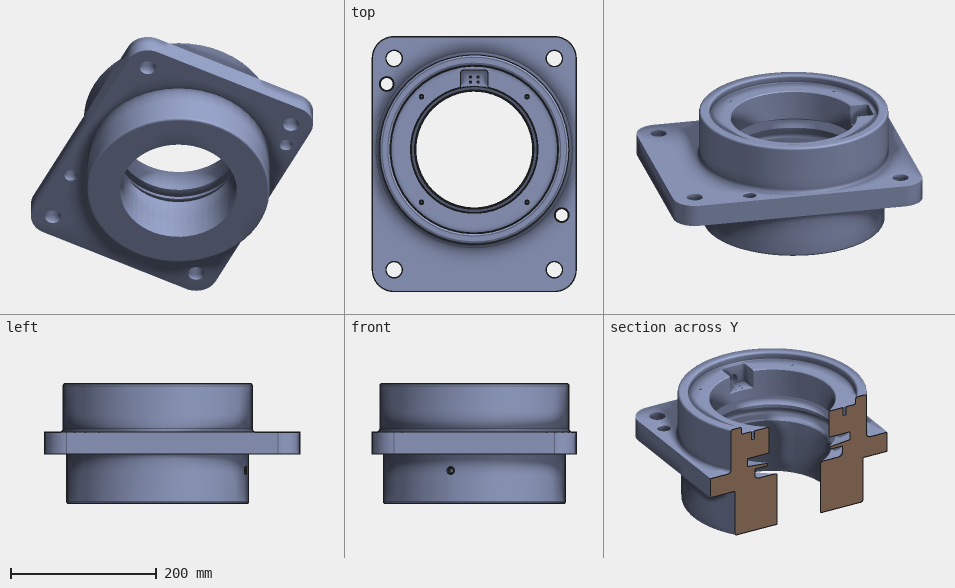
import cadquery as cq
import math

plate_x = 280.0
plate_y = 350.0
plate_thickness = 30.0
plate_corner_radius = 30.0
plate_shift_y = -20.0

FILLET_BOW = 1 - math.sqrt(0.5)

lower_height = 68.0
lower_radius = 125.0
lower_edge_fillet = 3.0
upper_height = 67.0
upper_radius = 130.0
upper_edge_fillet = 3.0
foot_fillet = 5.0

plate_top = lower_height + plate_thickness
total_height = plate_top + upper_height

recess_radius = 115.5
recess_depth = 11.0
recess_rim_fillet = 3.0
recess_floor_chamfer = 1.0
recess_floor = total_height - recess_depth

lip_radius = 86.5
lip_thickness = 41.0
lip_chamfer = 1.0
lip_bottom = recess_floor - lip_thickness
groove_radius = 108.5

ring_radius = 87.5
ring_top = 98.7
ring_thickness = 4.5
ring_slope = math.radians(8)
ring_bottom = ring_top - ring_thickness
ring_outer_top = ring_top + (groove_radius - ring_radius) * math.tan(ring_slope)

seat_radius = 100.0
seat_floor = 79.5
seat_fillet = 5.0
through_radius = 80.0
through_chamfer_width = 1.8
through_chamfer_height = 1.8

mount_diameter = 22.0
mount_spacing_x = 219.8
mount_spacing_y = 289.8

pin_diameter = 18.0
pin_chamfer = 1.0
pin_x = 120.0
pin_y = 90.0

cover_hole_diameter = 4.0
cover_hole_chamfer = 1.0
cover_hole_depth = 12.2
cover_hole_offset = 72.5

pocket_width = 37.0
pocket_end_y = 109.0
pocket_depth = 27.5
pocket_corner_radius = 4.0
pocket_floor = recess_floor - pocket_depth

contact_diameter = 2.8
contact_depth = 7.0
contact_half_spacing_x = 5.2
contact_rows_y = (92.5, 99.5)

wall_hole_diameter = 15.5
wall_hole_depth = 10.5
wall_hole_z = pocket_floor + wall_hole_diameter / 2

side_hole_diameter = 7.7
side_hole_depth = 10.5
side_hole_chamfer = 1.5
side_hole_tip = 2.0
side_hole_z = 45.5
side_hole_angle = math.radians(255)


def vertical_holes(points, top_z, diameter, depth):
    """Vertical cylinders hanging down from top_z at the given points."""
    plane = cq.Workplane("XY").workplane(offset=top_z)
    return plane.pushPoints(points).circle(diameter / 2).extrude(-depth)


def countersinks(points, top_z, diameter, chamfer):
    """45 degree cones that chamfer the mouths of vertical holes at top_z."""
    cones = cq.Workplane("XY")
    for x, y in points:
        mouth = cq.Vector(x, y, top_z)
        cone = cq.Solid.makeCone(
            diameter / 2 + chamfer, diameter / 2, chamfer, mouth, cq.Vector(0, 0, -1)
        )
        cones = cones.add(cone)
    return cones.combine()


def make_plate():
    return (
        cq.Workplane("XY")
        .workplane(offset=lower_height)
        .center(0, plate_shift_y)
        .rect(plate_x, plate_y)
        .extrude(plate_thickness)
        .edges("|Z")
        .fillet(plate_corner_radius)
    )


def make_housing():
    """Solid outside of the housing, including the concave fillet above the plate."""
    lower_bow = lower_edge_fillet * FILLET_BOW
    upper_bow = upper_edge_fillet * FILLET_BOW
    foot_bow = foot_fillet * FILLET_BOW
    return (
        cq.Workplane("XZ")
        .moveTo(0, 0)
        .lineTo(lower_radius - lower_edge_fillet, 0)
        .threePointArc((lower_radius - lower_bow, lower_bow), (lower_radius, lower_edge_fillet))
        .lineTo(lower_radius, lower_height)
        .lineTo(upper_radius + foot_fillet, lower_height)
        .lineTo(upper_radius + foot_fillet, plate_top)
        .threePointArc(
            (upper_radius + foot_bow, plate_top + foot_bow),
            (upper_radius, plate_top + foot_fillet),
        )
        .lineTo(upper_radius, total_height - upper_edge_fillet)
        .threePointArc(
            (upper_radius - upper_bow, total_height - upper_bow),
            (upper_radius - upper_edge_fillet, total_height),
        )
        .lineTo(0, total_height)
        .close()
        .revolve(360, (0, 0), (0, 1))
    )


def make_bore():
    """Stepped opening along the axis, from the lowest face up to the top face."""
    rim_bow = recess_rim_fillet * FILLET_BOW
    seat_bow = seat_fillet * FILLET_BOW
    return (
        cq.Workplane("XZ")
        .moveTo(0, 0)
        .lineTo(through_radius, 0)
        .lineTo(through_radius, seat_floor - through_chamfer_height)
        .lineTo(through_radius + through_chamfer_width, seat_floor)
        .lineTo(seat_radius - seat_fillet, seat_floor)
        .threePointArc(
            (seat_radius - seat_bow, seat_floor + seat_bow),
            (seat_radius, seat_floor + seat_fillet),
        )
        .lineTo(seat_radius, ring_bottom)
        .lineTo(ring_radius, ring_bottom)
        .lineTo(ring_radius, ring_top)
        .lineTo(groove_radius, ring_outer_top)
        .lineTo(groove_radius, lip_bottom)
        .lineTo(lip_radius, lip_bottom)
        .lineTo(lip_radius, recess_floor - lip_chamfer)
        .lineTo(lip_radius + lip_chamfer, recess_floor)
        .lineTo(recess_radius - recess_floor_chamfer, recess_floor)
        .lineTo(recess_radius, recess_floor + recess_floor_chamfer)
        .lineTo(recess_radius, total_height - recess_rim_fillet)
        .threePointArc(
            (recess_radius + rim_bow, total_height - rim_bow),
            (recess_radius + recess_rim_fillet, total_height),
        )
        .lineTo(0, total_height)
        .close()
        .revolve(360, (0, 0), (0, 1))
    )


def make_mount_holes():
    return (
        cq.Workplane("XY")
        .workplane(offset=lower_height)
        .center(0, plate_shift_y)
        .rect(mount_spacing_x, mount_spacing_y, forConstruction=True)
        .vertices()
        .circle(mount_diameter / 2)
        .extrude(plate_thickness)
    )


def make_pin_holes():
    """Through holes with a chamfer at the upper face of the plate."""
    points = [(-pin_x, pin_y), (pin_x, -pin_y)]
    holes = vertical_holes(points, plate_top, pin_diameter, plate_thickness)
    return holes.union(countersinks(points, plate_top, pin_diameter, pin_chamfer))


def make_pocket():
    """Pocket open to the bore, with its wall hole and the holes in its floor."""
    pocket = (
        cq.Workplane("XY")
        .workplane(offset=pocket_floor)
        .center(0, pocket_end_y / 2)
        .rect(pocket_width, pocket_end_y)
        .extrude(pocket_depth)
        .edges("|Z and >Y")
        .fillet(pocket_corner_radius)
    )
    wall_hole = (
        cq.Workplane("XZ", origin=(0, pocket_end_y, wall_hole_z))
        .circle(wall_hole_diameter / 2)
        .extrude(-wall_hole_depth)
    )
    contact_points = [
        (side * contact_half_spacing_x, y) for side in (-1, 1) for y in contact_rows_y
    ]
    contacts = vertical_holes(contact_points, pocket_floor, contact_diameter, contact_depth)
    return pocket.union(wall_hole).union(contacts)


def make_cover_holes():
    points = [
        (side_x * cover_hole_offset, side_y * cover_hole_offset)
        for side_x in (-1, 1)
        for side_y in (-1, 1)
    ]
    holes = vertical_holes(points, recess_floor, cover_hole_diameter, cover_hole_depth)
    return holes.union(countersinks(points, recess_floor, cover_hole_diameter, cover_hole_chamfer))


def make_side_hole():
    outward = cq.Vector(math.cos(side_hole_angle), math.sin(side_hole_angle), 0)
    mouth = outward * lower_radius + cq.Vector(0, 0, side_hole_z)
    hole_radius = side_hole_diameter / 2
    drill = cq.Solid.makeCylinder(hole_radius, side_hole_depth, mouth, -outward)
    countersink = cq.Solid.makeCone(
        hole_radius + side_hole_chamfer, hole_radius, side_hole_chamfer, mouth, -outward
    )
    bottom = mouth - outward * side_hole_depth
    drill_point = cq.Solid.makeCone(hole_radius, 0, side_hole_tip, bottom, -outward)
    return cq.Workplane(drill).union(cq.Workplane(countersink)).union(cq.Workplane(drill_point))


result = (
    make_plate()
    .union(make_housing())
    .cut(make_bore())
    .cut(make_pocket())
    .cut(make_cover_holes())
    .cut(make_mount_holes())
    .cut(make_pin_holes())
    .cut(make_side_hole())
)